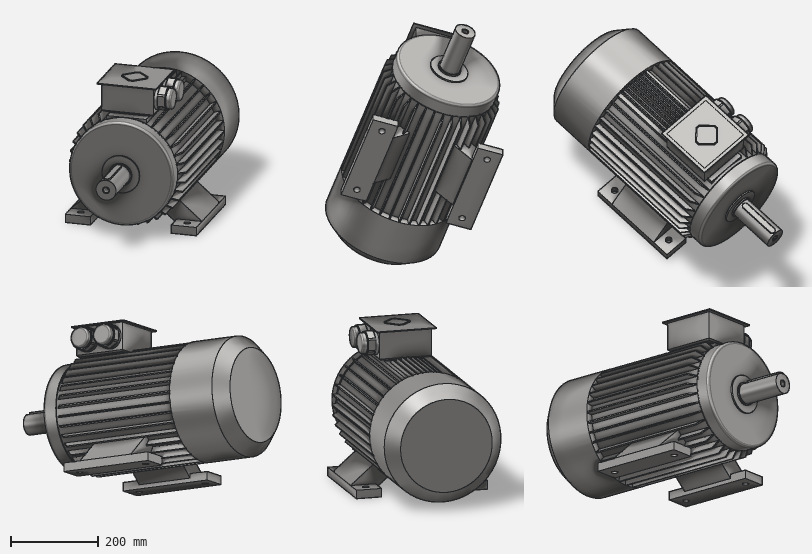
import cadquery as cq
import math


overall_length = 615.0
overall_width = 314.0

shaft_diameter = 48.0
shaft_length = 110.0
shoulder_diameter = 54.0
shoulder_end_y = 3.5
bearing_cap_diameter = 90.0
bearing_cap_end_y = 7.5
flange_diameter = 250.0
flange_end_y = 42.0
flange_fillet = 5.5
barrel_diameter = 245.0
cowl_diameter = 280.0
cowl_front_y = 360.0
cowl_rear_y = overall_length - shaft_length
cowl_chamfer = 30.0

key_width = 14.0
key_front_y = -107.5
key_rear_y = -5.0
key_top_z = 27.0
key_bottom_z = shaft_diameter / 4
centre_hole_diameter = 13.5
centre_hole_depth = 24.5
countersink_diameter = 16.5
drill_point_angle = 118

fin_thickness = 3.0
fin_front_y = 46.0
fin_end_slope_length = 15.0
radial_fin_step = 10
first_fin_angle = -240
last_fin_angle = 60
fin_root_overlap = 3.0

pad_width = 95.5
pad_top_z = 123.0
pad_front_y = 50.0
pad_bottom_z = 92.0
upright_fin_count = 7
upright_fin_pitch = pad_width / (upright_fin_count + 1)
upright_fin_radius = 138.0
upright_fin_front_y = 186.0
upright_fin_slope_length = 11.5

axis_height = 160.0
foot_outer_x = overall_width / 2
foot_width = 60.0
foot_thickness = 20.0
foot_length = 228.0
foot_centre_y = 198.0
foot_hole_diameter = 15.0
foot_hole_x = 127.0
foot_hole_spacing = 178.5
leg_length = 138.0
leg_centre_y = 197.0
leg_angle = 40.5
leg_lower_edge_z = -150.0
leg_reach = 86.0
leg_lower_reach = 43.0

box_centre_y = 120.5
box_size = 124.0
box_bottom_z = 128.5
box_bottom_chamfer = 3.5
neck_size = pad_width
lid_size = 141.5
lid_bottom_z = 197.0
lid_thickness = 2.5
badge_centre_y = 115.5
badge_thickness = 2.0
badge_diagonal = 61.0
badge_corner_flat = 10.0
badge_rim_width = 2.5
badge_recess_depth = 1.0

gland_spacing = 61.0
gland_z = 165.0
gland_collar_diameter = 56.5
gland_nut_start_x = 69.5
gland_nut_end_x = 87.5
gland_nut_diameter = 56.5
gland_nut_across_flats = 51.0
gland_washer_diameter = 54.0
gland_washer_end_x = 89.0
gland_cap_diameter = 48.0
gland_cap_end_x = 101.0
gland_cap_fillet = 3.5


def cylinder_y(diameter, start_y, end_y):
    """Cylinder on the motor axis between two Y positions."""
    disc = cq.Workplane("XZ", origin=(0, start_y, 0)).circle(diameter / 2)
    return disc.extrude(start_y - end_y)


def cylinder_x(diameter, start_x, end_x):
    """Cylinder along X, centred on Y = Z = 0."""
    return cq.Workplane("YZ", origin=(start_x, 0, 0)).circle(diameter / 2).extrude(end_x - start_x)


def block(size_x, size_y, bottom_z, top_z, centre_x=0.0, centre_y=0.0):
    """Upright rectangular block."""
    base = cq.Workplane("XY", origin=(centre_x, centre_y, bottom_z))
    return base.rect(size_x, size_y).extrude(top_z - bottom_z)


def make_flange():
    flange = cylinder_y(flange_diameter, bearing_cap_end_y, flange_end_y)
    return flange.faces("<Y").edges().fillet(flange_fillet)


def make_cowl():
    cowl = cylinder_y(cowl_diameter, cowl_front_y, cowl_rear_y)
    return cowl.faces(">Y").edges().chamfer(cowl_chamfer)


def make_fin(root_z, tip_z, front_y, slope_length, overlap):
    """Upright fin at X = 0 whose front end slopes back from root to tip."""
    outline = cq.Workplane("YZ", origin=(-fin_thickness / 2, 0, 0)).polyline([
        (front_y, root_z - overlap),
        (front_y, root_z),
        (front_y + slope_length, tip_z),
        (cowl_front_y, tip_z),
        (cowl_front_y, root_z - overlap),
    ])
    return outline.close().extrude(fin_thickness)


def make_radial_fins():
    fin = make_fin(
        barrel_diameter / 2, cowl_diameter / 2, fin_front_y, fin_end_slope_length, fin_root_overlap
    )
    fins = cq.Workplane("XY")
    for angle in range(first_fin_angle, last_fin_angle + 1, radial_fin_step):
        fins = fins.add(fin.rotate((0, 0, 0), (0, 1, 0), 90 - angle))
    return fins


def make_pad():
    pad_length = cowl_front_y - pad_front_y
    return block(pad_width, pad_length, pad_bottom_z, pad_top_z, 0, pad_front_y + pad_length / 2)


def make_upright_fins():
    fins = cq.Workplane("XY")
    for index in range(upright_fin_count):
        x = (index - (upright_fin_count - 1) / 2) * upright_fin_pitch
        tip_z = math.sqrt(upright_fin_radius**2 - x**2)
        fin = make_fin(
            pad_top_z, tip_z, upright_fin_front_y, upright_fin_slope_length, fin_root_overlap
        )
        fins = fins.add(fin.translate((x, 0, 0)))
    return fins


def make_key():
    length = key_rear_y - key_front_y
    middle_y = (key_rear_y + key_front_y) / 2
    base = cq.Workplane("XY", origin=(0, middle_y, key_bottom_z))
    return base.slot2D(length, key_width, 90).extrude(key_top_z - key_bottom_z)


def make_centre_hole():
    """Blind countersunk hole with a conical bottom in the shaft end."""
    radius = centre_hole_diameter / 2
    rim_radius = countersink_diameter / 2
    bottom_y = centre_hole_depth - shaft_length
    point_length = radius / math.tan(math.radians(drill_point_angle / 2))
    outline = cq.Workplane("XY").polyline([
        (0, -shaft_length),
        (rim_radius, -shaft_length),
        (radius, rim_radius - radius - shaft_length),
        (radius, bottom_y),
        (0, bottom_y + point_length),
    ])
    return outline.close().revolve(360, (0, 0, 0), (0, 1, 0))


def make_foot():
    """Foot on the +X side: base block with two holes and a slanted leg."""
    centre_x = foot_outer_x - foot_width / 2
    top_z = foot_thickness - axis_height
    base = block(foot_width, foot_length, -axis_height, top_z, centre_x, foot_centre_y)
    holes = cq.Workplane("XY", origin=(foot_hole_x, foot_centre_y, -axis_height))
    holes = holes.rarray(6, foot_hole_spacing, 1, 2).circle(foot_hole_diameter / 2)

    slope = math.tan(math.radians(leg_angle))
    inner_x = foot_outer_x - foot_width
    leg = cq.Workplane("XZ", origin=(0, leg_centre_y, 0)).polyline([
        (foot_outer_x, top_z),
        (foot_outer_x - leg_reach, top_z + leg_reach * slope),
        (inner_x - leg_lower_reach, leg_lower_edge_z + leg_lower_reach * slope),
        (inner_x, leg_lower_edge_z),
    ])
    leg = leg.close().extrude(leg_length / 2, both=True)
    return base.union(leg).cut(holes.extrude(foot_thickness))


def make_badge(bottom_z):
    """Square plate turned by 45 degrees, with cut corners and a raised rim."""
    tip = badge_diagonal / 2
    flat = badge_corner_flat / 2
    plate = cq.Workplane("XY", origin=(0, badge_centre_y, bottom_z)).polyline([
        (tip, -flat), (tip, flat), (flat, tip), (-flat, tip),
        (-tip, flat), (-tip, -flat), (-flat, -tip), (flat, -tip),
    ])
    plate = plate.close().extrude(badge_thickness)
    recess = plate.faces(">Z").wires().toPending().offset2D(-badge_rim_width)
    return recess.cutBlind(-badge_recess_depth)


def make_terminal_box():
    lid_top_z = lid_bottom_z + lid_thickness
    box = block(box_size, box_size, box_bottom_z, lid_bottom_z, 0, box_centre_y)
    box = box.faces("<Z").edges().chamfer(box_bottom_chamfer)
    neck = block(neck_size, neck_size, pad_bottom_z, box_bottom_z, 0, box_centre_y)
    lid = block(lid_size, lid_size, lid_bottom_z, lid_top_z, 0, box_centre_y)
    return box.union(neck).union(lid).union(make_badge(lid_top_z))


def make_gland():
    """Cable gland: collar, hexagon nut with turned corners, washer and round cap."""
    collar = cylinder_x(gland_collar_diameter, box_size / 2, gland_nut_start_x)
    nut = cylinder_x(gland_nut_diameter, gland_nut_start_x, gland_nut_end_x)
    across_corners = gland_nut_across_flats / math.cos(math.pi / 6)
    hexagon = cq.Workplane("YZ", origin=(gland_nut_start_x, 0, 0)).polygon(6, across_corners)
    hexagon = hexagon.extrude(gland_nut_end_x - gland_nut_start_x)
    hexagon = hexagon.rotate((0, 0, 0), (1, 0, 0), 90)
    washer = cylinder_x(gland_washer_diameter, gland_nut_end_x, gland_washer_end_x)
    cap = cylinder_x(gland_cap_diameter, gland_washer_end_x, gland_cap_end_x)
    cap = cap.faces(">X").edges().fillet(gland_cap_fillet)
    return collar.union(nut.intersect(hexagon)).union(washer).union(cap)


motor = cylinder_y(barrel_diameter, flange_end_y, cowl_front_y)
motor = motor.union(make_flange()).union(make_cowl())
motor = motor.union(cylinder_y(bearing_cap_diameter, shoulder_end_y, bearing_cap_end_y))
motor = motor.union(cylinder_y(shoulder_diameter, 0, shoulder_end_y))
motor = motor.union(cylinder_y(shaft_diameter, -shaft_length, 0))
motor = motor.union(make_key()).cut(make_centre_hole())

motor = motor.union(make_pad())
for fin_solid in make_radial_fins().vals() + make_upright_fins().vals():
    motor = motor.union(cq.Workplane(fin_solid))

foot = make_foot()
motor = motor.union(foot).union(foot.mirror("YZ"))

motor = motor.union(make_terminal_box())
for side in (-1, 1):
    gland_y = box_centre_y + side * gland_spacing / 2
    motor = motor.union(make_gland().translate((0, gland_y, gland_z)))

result = motor